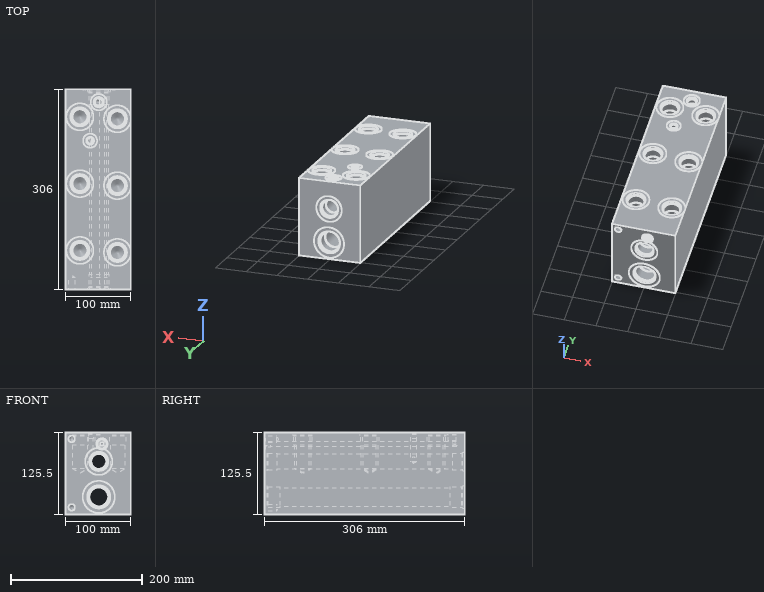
import cadquery as cq
import math

WIDTH = 100.0
OVERALL_LENGTH = 306.0
HEIGHT = 125.5
PLUG_PROUD = 0.3
BLOCK_LENGTH = OVERALL_LENGTH - PLUG_PROUD

DRILL_TIP_HALF_ANGLE = math.radians(59)
SEAT_HALF_ANGLE = math.radians(15)

SPOTFACE_DEPTH = 0.5
PORT_XL = {
    "spotface": 49.0, "seat": 35.5, "seat_depth": 3.0,
    "thread": 31.0, "thread_depth": 23.2, "drill": 28.5,
}
PORT_L = {
    "spotface": 41.3, "seat": 29.5, "seat_depth": 3.0,
    "thread": 25.0, "thread_depth": 19.0, "drill": 22.5,
}
PORT_M = {
    "spotface": 24.8, "seat": 16.0, "seat_depth": 2.5,
    "thread": 12.5, "thread_depth": 12.0, "drill": 11.5,
}
PORT_S = {
    "spotface": 21.5, "seat": 12.0, "seat_depth": 1.5,
    "thread": 9.2, "thread_depth": 9.2, "drill": 8.5,
}

GALLERY_X = 51.0
UPPER_GALLERY_Z = 81.0
LOWER_GALLERY_Z = 27.0

PORT_PITCH = 102.0
PORT_ROWS = 3
LEFT_PORT_X = 22.3
LEFT_PORT_FIRST_Y = 59.5
RIGHT_PORT_X = 79.5
RIGHT_PORT_FIRST_Y = 56.5
CONSUMER_PORT_DEPTH = 55.0

PILOT_PORT_X = 51.0
PILOT_PORT_Y = 285.7
DRAIN_PORT_X = 38.0
DRAIN_PORT_Y = 227.0
DRAIN_PORT_DEPTH = HEIGHT - UPPER_GALLERY_Z

MOUNT_HOLE_DIAMETER = 10.0
MOUNT_HOLE_DEPTH = 18.5
MOUNT_HOLE_X = 9.8
LOWER_MOUNT_HOLE_Z = 11.0
UPPER_MOUNT_HOLE_Z = 115.3

PILOT_X = 56.0
PILOT_Z = 107.7
PILOT_DIAMETER = 7.5
PILOT_PORT_DEPTH = HEIGHT - PILOT_Z
PILOT_OVERRUN = 6.0
PLUG_RECESS_DIAMETER = 17.0
PLUG_RECESS_DEPTH = 1.2
PLUG_HEAD_DIAMETER = 13.8
PLUG_SHANK_DIAMETER = 9.0
PLUG_SHANK_LENGTH = 8.0
PLUG_SOCKET_DIAMETER = 5.8
PLUG_SOCKET_DEPTH = 3.0


def revolved(profile):
    """Solid turned about Z from (radius, height) points that start and end on the axis."""
    return cq.Workplane("XZ").polyline(profile).close().revolve(360, (0, 0), (0, 1))


def into_top(tool, x, y):
    """Place a tool that points along -Z so that it enters the top face."""
    return tool.translate((x, y, HEIGHT))


def into_front(tool, x, z):
    """Turn a tool that points along -Z so that it enters the front face along +Y."""
    return tool.rotate((0, 0, 0), (1, 0, 0), 90).translate((x, 0, z))


def into_back(tool, x, z):
    """Turn a tool that points along -Z so that it enters the back face along -Y."""
    return tool.rotate((0, 0, 0), (1, 0, 0), -90).translate((x, BLOCK_LENGTH, z))


def blind_drill(diameter, depth):
    """Round hole of full diameter down to depth, then a conical drill tip."""
    radius = diameter / 2
    tip = radius / math.tan(DRILL_TIP_HALF_ANGLE)
    return revolved([(0, 0), (radius, 0), (radius, -depth), (0, -depth - tip)])


def port_mouth(port):
    """Spotface, tapered O-ring seat, 45 degree lead-in and tapped bore."""
    thread_radius = port["thread"] / 2
    seat_radius = port["seat"] / 2
    seat_bottom = SPOTFACE_DEPTH + port["seat_depth"]
    seat_bottom_radius = seat_radius - port["seat_depth"] * math.tan(SEAT_HALF_ANGLE)
    lead_in_bottom = seat_bottom + seat_bottom_radius - thread_radius
    return revolved([
        (0, 0),
        (port["spotface"] / 2, 0),
        (port["spotface"] / 2, -SPOTFACE_DEPTH),
        (seat_radius, -SPOTFACE_DEPTH),
        (seat_bottom_radius, -seat_bottom),
        (thread_radius, -lead_in_bottom),
        (thread_radius, -port["thread_depth"]),
        (0, -port["thread_depth"]),
    ])


def blind_port(port, depth):
    """Port whose drill reaches the given depth and ends in a conical tip."""
    return port_mouth(port).union(blind_drill(port["drill"], depth))


def cylinder(diameter, top, length):
    """Cylinder about Z that hangs down from the given height."""
    return cq.Workplane("XY", origin=(0, 0, top)).circle(diameter / 2).extrude(-length)


def make_plug():
    """Screw plug: head standing on the recess floor, shank below it and a drilled socket."""
    head = cylinder(PLUG_HEAD_DIAMETER, PLUG_PROUD, PLUG_PROUD + PLUG_RECESS_DEPTH)
    shank = cylinder(PLUG_SHANK_DIAMETER, -PLUG_RECESS_DEPTH, PLUG_SHANK_LENGTH)
    socket = blind_drill(PLUG_SOCKET_DIAMETER, PLUG_SOCKET_DEPTH)
    plug = head.union(shank).cut(socket.translate((0, 0, PLUG_PROUD)))
    return into_front(plug, PILOT_X, PILOT_Z)


def make_block():
    """Manifold block with all its ports, galleries and holes."""
    block = cq.Workplane("XY").box(WIDTH, BLOCK_LENGTH, HEIGHT, centered=False)

    for port, z in ((PORT_L, UPPER_GALLERY_Z), (PORT_XL, LOWER_GALLERY_Z)):
        gallery = cylinder(port["drill"], 0, BLOCK_LENGTH)
        block = block.cut(into_front(gallery, GALLERY_X, z))
        block = block.cut(into_front(port_mouth(port), GALLERY_X, z))
        block = block.cut(into_back(port_mouth(port), GALLERY_X, z))

    consumer_port = blind_port(PORT_L, CONSUMER_PORT_DEPTH)
    for x, first_y in ((LEFT_PORT_X, LEFT_PORT_FIRST_Y), (RIGHT_PORT_X, RIGHT_PORT_FIRST_Y)):
        for row in range(PORT_ROWS):
            block = block.cut(into_top(consumer_port, x, first_y + row * PORT_PITCH))

    block = block.cut(into_top(blind_port(PORT_M, PILOT_PORT_DEPTH), PILOT_PORT_X, PILOT_PORT_Y))
    block = block.cut(into_top(blind_port(PORT_S, DRAIN_PORT_DEPTH), DRAIN_PORT_X, DRAIN_PORT_Y))

    mount_hole = blind_drill(MOUNT_HOLE_DIAMETER, MOUNT_HOLE_DEPTH)
    for z in (LOWER_MOUNT_HOLE_Z, UPPER_MOUNT_HOLE_Z):
        block = block.cut(into_front(mount_hole, MOUNT_HOLE_X, z))

    recess = cylinder(PLUG_RECESS_DIAMETER, 0, PLUG_RECESS_DEPTH)
    shank_hole = cylinder(PLUG_SHANK_DIAMETER, -PLUG_RECESS_DEPTH, PLUG_SHANK_LENGTH)
    pilot_drill = blind_drill(PILOT_DIAMETER, PILOT_PORT_Y + PILOT_OVERRUN)
    for tool in (recess, shank_hole, pilot_drill):
        block = block.cut(into_front(tool, PILOT_X, PILOT_Z))
    return block


block = make_block()
plug = make_plug()

result = cq.Compound.makeCompound([block.val(), plug.val()])